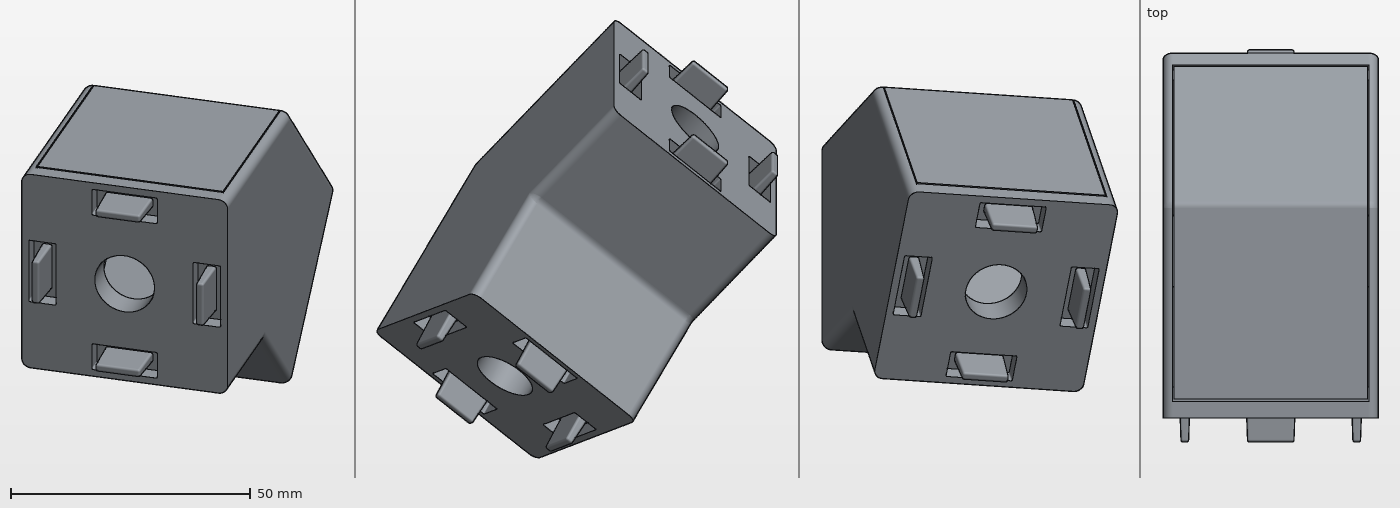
import cadquery as cq
import math

width = 45.0
top_length = 44.7
bend_angle = 45.0
edge_radius = 2.01
floor_thickness = 2.95
cavity_radius = 1.0
end_wall = 6.5

lid_thickness = 1.5
lid_side_gap = 0.25
lid_end_gap = 0.5
rim = 3.5

bore_diameter = 13.0
clip_count = 4
clip_offset = 17.95
pocket_length = 14.3
pocket_width = 6.0
pocket_depth = 3.3
pocket_corner_radius = 0.3
tab_length = 10.1
tab_thickness = 2.0
tab_reach = 5.0
clip_rounding = 0.5
draft = 2.0

half = width / 2
tilt = math.radians(bend_angle)
mitre_slope = math.tan(tilt / 2)
leg_length = top_length - half * mitre_slope
opening_half_width = half - edge_radius
lid_underside = half - lid_thickness

BEND_POINT = (0, 0, 0)
MITRE_NORMAL = cq.Vector(0, -1 - math.cos(tilt), math.sin(tilt))


def on_tilted_leg(along, height):
    """(Y, Z) of a point of the tilted leg, from its distance along and above the axis."""
    return (
        along * math.cos(tilt) + height * math.sin(tilt),
        -along * math.sin(tilt) + height * math.cos(tilt),
    )


def elbow(top, bottom, end_inset, half_width):
    """Mitred elbow bar between two heights over the leg axis, short of both end faces."""
    reach = leg_length - end_inset
    return (
        cq.Workplane("YZ", origin=(-half_width, 0, 0))
        .moveTo(-reach, bottom)
        .lineTo(-reach, top)
        .lineTo(top * mitre_slope, top)
        .lineTo(*on_tilted_leg(reach, top))
        .lineTo(*on_tilted_leg(reach, bottom))
        .lineTo(bottom * mitre_slope, bottom)
        .close()
        .extrude(2 * half_width)
    )


def round_bend(block, height):
    """Round the edge across the block where its two faces at this height meet."""
    bend_edge = cq.selectors.NearestToPointSelector((0, height * mitre_slope, height))
    return block.edges("|X").edges(bend_edge).fillet(edge_radius)


def make_outer_block():
    block = elbow(half, -half, 0, half)
    block = block.faces("<X or >X").edges("not (|Z or |(0, 1, 1))").fillet(edge_radius)
    block = round_bend(block, half)
    return round_bend(block, -half)


def make_cavity():
    """Inside space with rounded lower corners, plus the lid opening above it."""
    floor = floor_thickness - half
    space = elbow(lid_underside, floor, end_wall, opening_half_width)
    space = space.faces("-Z or (0, -1, -1)").edges("not |X").fillet(cavity_radius)
    opening = elbow(width, lid_underside, rim, opening_half_width)
    return space.union(opening)


def end_plane(depth):
    """Plane parallel to the front end face, this deep inside it, facing outwards."""
    return cq.Workplane("XZ", origin=(0, depth - leg_length, 0))


def clip_places(plane):
    return plane.polarArray(clip_offset, 90, 360, clip_count)


def on_both_ends(shape):
    return shape.union(shape.mirror(MITRE_NORMAL, BEND_POINT))


def make_bore():
    return end_plane(end_wall).circle(bore_diameter / 2).extrude(end_wall)


def make_pockets():
    """Recesses that narrow towards their floors."""
    mouths = clip_places(end_plane(0)).rect(pocket_width, pocket_length)
    return mouths.extrude(-pocket_depth, taper=draft).edges("not #Y").fillet(pocket_corner_radius)


def make_tabs():
    """Rounded tongues that rise from the pocket floors and taper to their tips."""
    root_growth = 2 * pocket_depth * math.tan(math.radians(draft))
    roots = clip_places(end_plane(pocket_depth)).rect(tab_thickness + root_growth, tab_length + root_growth)
    tabs = roots.extrude(pocket_depth + tab_reach, taper=draft)
    return tabs.edges("(not #Y) or <Y").fillet(clip_rounding)


def make_housing(block):
    end_cuts = make_bore().union(make_pockets())
    housing = block.cut(make_cavity()).cut(on_both_ends(end_cuts))
    return housing.union(on_both_ends(make_tabs()))


def make_lid(block):
    plate = elbow(width, lid_underside, rim + lid_end_gap, opening_half_width - lid_side_gap)
    return block.intersect(plate)


outer_block = make_outer_block()
housing = make_housing(outer_block)
lid = make_lid(outer_block)

result = cq.Compound.makeCompound([housing.val(), lid.val()])